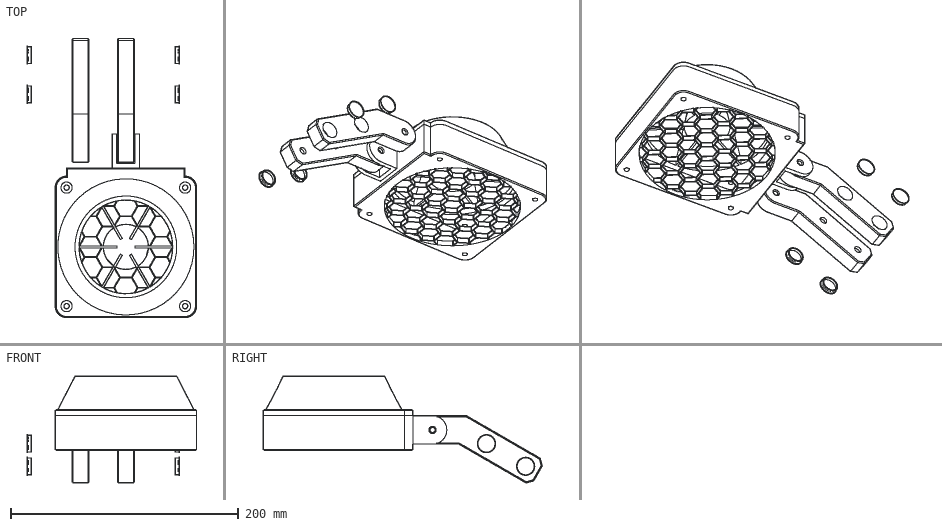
import cadquery as cq
import math

body_size = 124.5
corner_radius = 10.0
base_height = 30.5
lid_thickness = 5.5
edge_chamfer = 1.0
fan_size = 120.0
fan_clearance = 2.0
cavity_size = fan_size + fan_clearance
floor_thickness = 5.0
lid_top = base_height + lid_thickness

step_depth = 7.5
body_back = body_size / 2 + step_depth
corner_offset = body_size / 2 - corner_radius

screw_hole = 4.5
screw_head = 9.9

cone_height = 29.5
cone_top_outer = 89.6
cone_top_inner = 82.3
throat = 111.3
hub_diameter = 40.0
hub_height = cone_height + lid_thickness
vane_count = 6
vane_thickness = 2.0
vane_drop = 3.0

hex_pitch = 18.0
hex_wall = 0.7
hex_rings = 4

hinge_height = 25.0
hinge_radius = hinge_height / 2
hinge_z = base_height - hinge_radius
arm_width = 15.0
hinge_gap = 0.5
hinge_wall = 4.2
slot_width = arm_width + 2 * hinge_gap
hinge_width = slot_width + 2 * hinge_wall
pivot_y = body_back + hinge_wall + hinge_gap + hinge_radius
pivot_hole = 4.5

arm_spacing = 40.0
arm_straight = 26.5
arm_slope = 30
pocket_pitch = 40.0
first_pocket = 24.1
arm_end_chamfer = 5.0
magnet_diameter = 15.0
pocket_depth = 12.3
push_hole = 6.5
cap_thickness = 4.0
cap_flange = 16.0
flange_thickness = 0.5
cap_recess = 2.5
cap_inner = 13.0
cap_offset = 47.3

screw_points = [(sx * corner_offset, sy * corner_offset) for sx in (-1, 1) for sy in (-1, 1)]


def footprint(z, height):
    """Rounded square plate with the hinge step along its back edge."""
    square = (
        cq.Workplane("XY", origin=(0, 0, z))
        .rect(body_size, body_size)
        .extrude(height)
        .edges("|Z")
        .fillet(corner_radius)
    )
    step = (
        cq.Workplane("XY", origin=(0, body_back / 2, z))
        .rect(2 * corner_offset, body_back)
        .extrude(height)
    )
    return square.union(step)


def x_cylinder(x, y, z, diameter, length):
    """Cylinder along X starting at the given point."""
    return cq.Workplane("YZ", origin=(x, y, z)).circle(diameter / 2).extrude(length)


def hinge_bracket():
    """Round-nosed block with a slot for one arm and a chamfered pivot hole."""
    block = (
        cq.Workplane("YZ", origin=(-hinge_width / 2, 0, 0))
        .moveTo(body_back, hinge_z - hinge_radius)
        .lineTo(pivot_y, hinge_z - hinge_radius)
        .threePointArc((pivot_y + hinge_radius, hinge_z), (pivot_y, hinge_z + hinge_radius))
        .lineTo(body_back, hinge_z + hinge_radius)
        .close()
        .extrude(hinge_width)
    )
    slot_length = 2 * hinge_radius + hinge_gap
    slot = cq.Workplane("XY").box(slot_width, slot_length, hinge_height, centered=(True, False, True))
    block = block.cut(slot.translate((0, body_back + hinge_wall, hinge_z)))
    block = block.cut(x_cylinder(-hinge_width / 2, pivot_y, hinge_z, pivot_hole, hinge_width))
    hole_rims = block.faces("<X or >X").edges("%CIRCLE").edges(cq.selectors.RadiusNthSelector(0))
    return hole_rims.chamfer(edge_chamfer)


def grille_openings():
    """Hexagonal prisms on a honeycomb, clipped to the fan circle."""
    column_pitch = hex_pitch * math.sqrt(3) / 2
    centres = []
    for column in range(-hex_rings, hex_rings + 1):
        for row in range(-hex_rings, hex_rings + 1):
            y = (row + (column % 2) / 2) * hex_pitch
            centres.append((column * column_pitch, y))
    corner_diameter = (hex_pitch - hex_wall) * 2 / math.sqrt(3)
    hexes = cq.Workplane("XY").pushPoints(centres).polygon(6, corner_diameter).extrude(floor_thickness)
    return hexes.intersect(cq.Workplane("XY").circle(fan_size / 2).extrude(floor_thickness))


def make_base():
    """Open box with the fan cavity, floor grille, screw holes and hinge bracket."""
    base = footprint(0, base_height).faces("<Z").edges().chamfer(edge_chamfer)
    cavity = (
        cq.Workplane("XY", origin=(0, 0, floor_thickness))
        .rect(cavity_size, cavity_size)
        .extrude(base_height - floor_thickness)
        .edges("|Z")
        .fillet(corner_radius - (body_size - cavity_size) / 2)
    )
    screws = cq.Workplane("XY").pushPoints(screw_points).circle(screw_hole / 2).extrude(base_height)
    return base.cut(cavity).cut(screws).cut(grille_openings()).union(hinge_bracket())


def frustum(bottom_diameter, top_diameter):
    """Truncated cone standing on the lid."""
    return (
        cq.Workplane("XY", origin=(0, 0, lid_top))
        .circle(bottom_diameter / 2)
        .workplane(offset=cone_height)
        .circle(top_diameter / 2)
        .loft()
    )


def flow_passage():
    """Air space through the lid and the cone."""
    hole = cq.Workplane("XY", origin=(0, 0, base_height)).circle(throat / 2).extrude(lid_thickness)
    return hole.union(frustum(throat, cone_top_inner))


def nose_hub():
    """Half-ellipsoid nose, its tip level with the cone rim."""
    radius = hub_diameter / 2
    return (
        cq.Workplane("XZ")
        .moveTo(0, base_height)
        .lineTo(radius, base_height)
        .parametricCurve(
            lambda t: (
                radius * math.cos(t * math.pi / 2),
                base_height + hub_height * math.sin(t * math.pi / 2),
            ),
            makeWire=False,
        )
        .close()
        .revolve(360, (0, 0, 0), (0, 1, 0))
    )


def vanes(passage):
    """Radial vanes that reach from the axis to the inner wall of the passage."""
    vane_height = hub_height - vane_drop
    blades = cq.Workplane("XY")
    for index in range(vane_count):
        blade = cq.Workplane("XY").box(
            throat / 2, vane_thickness, vane_height, centered=(False, True, False)
        )
        blade = blade.translate((0, 0, base_height))
        blades = blades.union(blade.rotate((0, 0, 0), (0, 0, 1), index * 360 / vane_count))
    return blades.intersect(passage)


def make_lid():
    """Cover plate with the air cone, vanes, nose hub and countersunk screw holes."""
    plate = footprint(base_height, lid_thickness).faces(">Z").edges().chamfer(edge_chamfer)
    passage = flow_passage()
    lid = plate.union(frustum(fan_size, cone_top_outer)).cut(passage)
    lid = lid.union(vanes(passage)).union(nose_hub())
    screws = cq.Workplane("XY", origin=(0, 0, lid_top)).pushPoints(screw_points)
    head_depth = (screw_head - screw_hole) / 2
    heads = screws.circle(screw_head / 2).extrude(-head_depth, taper=45)
    shanks = screws.circle(screw_hole / 2).extrude(-lid_thickness)
    return lid.cut(heads).cut(shanks)


slope = math.radians(arm_slope)
bend_y = pivot_y + arm_straight
pocket_distances = [first_pocket, first_pocket + pocket_pitch]
arm_end = pocket_distances[-1] + hinge_radius


def sloped_point(along, across):
    """Y, Z of a point on the sloped arm part: along it from the bend, and across it upward."""
    y = bend_y + along * math.cos(slope) + across * math.sin(slope)
    z = hinge_z - along * math.sin(slope) + across * math.cos(slope)
    return (y, z)


pocket_points = [sloped_point(distance, 0) for distance in pocket_distances]


def make_arm(x, side):
    """Bent arm centred at x; its pockets open toward side (-1 or +1 along X)."""
    r = hinge_radius
    mitre = r * math.tan(slope / 2)
    arm = (
        cq.Workplane("YZ", origin=(x - arm_width / 2, 0, 0))
        .moveTo(pivot_y, hinge_z + r)
        .lineTo(bend_y + mitre, hinge_z + r)
        .lineTo(*sloped_point(arm_end - arm_end_chamfer, r))
        .lineTo(*sloped_point(arm_end, r - arm_end_chamfer))
        .lineTo(*sloped_point(arm_end, arm_end_chamfer - r))
        .lineTo(*sloped_point(arm_end - arm_end_chamfer, -r))
        .lineTo(bend_y - mitre, hinge_z - r)
        .lineTo(pivot_y, hinge_z - r)
        .threePointArc((pivot_y - r, hinge_z), (pivot_y, hinge_z + r))
        .close()
        .extrude(arm_width)
    )
    arm = arm.cut(x_cylinder(x - arm_width / 2, pivot_y, hinge_z, pivot_hole, arm_width))
    arm = arm.faces("<X or >X").edges().chamfer(edge_chamfer)
    for y, z in pocket_points:
        arm = arm.cut(x_cylinder(x - arm_width / 2, y, z, push_hole, arm_width))
        arm = arm.cut(x_cylinder(x + side * arm_width / 2, y, z, magnet_diameter, -side * pocket_depth))
    return arm


def make_cap(x, y, z, side):
    """Flanged cup whose outer face lies at x; its recess faces the arm."""
    cap = x_cylinder(x, y, z, magnet_diameter, -side * cap_thickness)
    cap = cap.union(x_cylinder(x, y, z, cap_flange, -side * flange_thickness))
    return cap.cut(x_cylinder(x - side * cap_thickness, y, z, cap_inner, side * cap_recess))


base = make_base()
lid = make_lid()
arms = []
caps = []
for arm_x, outward in ((-arm_spacing, -1), (0, 1)):
    arms.append(make_arm(arm_x, outward))
    for pocket_y, pocket_z in pocket_points:
        caps.append(make_cap(arm_x + outward * cap_offset, pocket_y, pocket_z, outward))

result = cq.Compound.makeCompound([body.val() for body in (base, lid, *arms, *caps)])